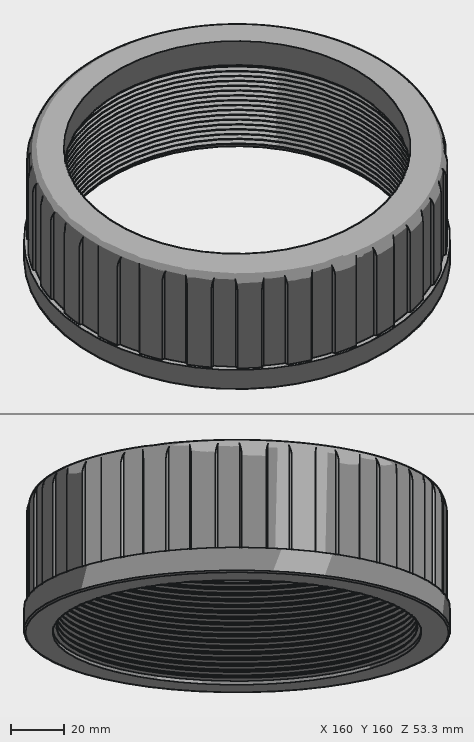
import cadquery as cq
import math

height = 53.3
base_radius = 80.0
base_height = 9.6
base_edge_chamfer = 0.6
body_radius = 78.0
top_round = 3.7
land_radius = 130.0 / 2
land_height = 11.4
land_bottom = height - land_height

crest_radius = 135.5 / 2
root_radius = 138.4 / 2
ridge_count = 17
lowest_ridge = 2.4
highest_ridge = 39.2
thread_pitch = (highest_ridge - lowest_ridge) / (ridge_count - 1)
crest_width = 0.38
ridge_foot_width = 2.0

rib_count = 26
rib_radius = 78.9
rib_root_width = 10.2
rib_crest_width = 9.0
rib_embed = 1.6
rib_straight_top = height - 7.4
rib_cap_round = 11.0


def inner_wall_points():
    """Bore outline from the bottom face up to the top face."""
    points = [(root_radius, 0)]
    for ridge in range(ridge_count):
        middle = lowest_ridge + ridge * thread_pitch
        points.append((root_radius, middle - ridge_foot_width / 2))
        points.append((crest_radius, middle - crest_width / 2))
        points.append((crest_radius, middle + crest_width / 2))
        points.append((root_radius, middle + ridge_foot_width / 2))
    points.append((root_radius, land_bottom))
    points.append((land_radius, land_bottom))
    points.append((land_radius, height))
    return points


def make_body():
    """Threaded ring with a base band and a rounded top edge."""
    round_centre = (body_radius - top_round, height - top_round)
    round_offset = top_round * math.sqrt(0.5)
    round_middle = (round_centre[0] + round_offset, round_centre[1] + round_offset)
    profile = (
        cq.Workplane("XZ")
        .polyline(inner_wall_points())
        .lineTo(body_radius - top_round, height)
        .threePointArc(round_middle, (body_radius, height - top_round))
        .lineTo(body_radius, base_height)
        .lineTo(base_radius, base_height)
        .lineTo(base_radius, base_edge_chamfer)
        .lineTo(base_radius - base_edge_chamfer, 0)
        .close()
    )
    return profile.revolve(360, (0, 0, 0), (0, 1, 0))


def make_rib_envelope():
    """Solid of revolution that gives the ribs their crest and curved top."""
    arc_centre_radius = rib_radius - rib_cap_round
    cap_inner_radius = body_radius - top_round
    cap_span = cap_inner_radius - arc_centre_radius
    cap_top = rib_straight_top + math.sqrt(rib_cap_round**2 - cap_span**2)
    half_angle = math.acos(cap_span / rib_cap_round) / 2
    cap_middle = (
        arc_centre_radius + rib_cap_round * math.cos(half_angle),
        rib_straight_top + rib_cap_round * math.sin(half_angle),
    )
    profile = (
        cq.Workplane("XZ")
        .moveTo(cap_inner_radius, base_height)
        .lineTo(rib_radius, base_height)
        .lineTo(rib_radius, rib_straight_top)
        .threePointArc(cap_middle, (cap_inner_radius, cap_top))
        .close()
    )
    return profile.revolve(360, (0, 0, 0), (0, 1, 0))


def make_rib():
    """One rib on the +X side, with sloped flanks, trimmed to the envelope."""
    inner = body_radius - rib_embed
    outer = rib_radius + rib_embed
    flank_slope = (rib_root_width - rib_crest_width) / (rib_radius - body_radius)
    inner_half = (rib_root_width + flank_slope * rib_embed) / 2
    outer_half = (rib_crest_width - flank_slope * rib_embed) / 2
    corners = [(inner, -inner_half), (outer, -outer_half), (outer, outer_half), (inner, inner_half)]
    blank = (
        cq.Workplane("XY")
        .workplane(offset=base_height)
        .polyline(corners)
        .close()
        .extrude(height - top_round / 2 - base_height)
    )
    return blank.intersect(make_rib_envelope())


result = make_body()
rib = make_rib()
for index in range(rib_count):
    angle = 90 + index * 360 / rib_count
    result = result.union(rib.rotate((0, 0, 0), (0, 0, 1), angle))